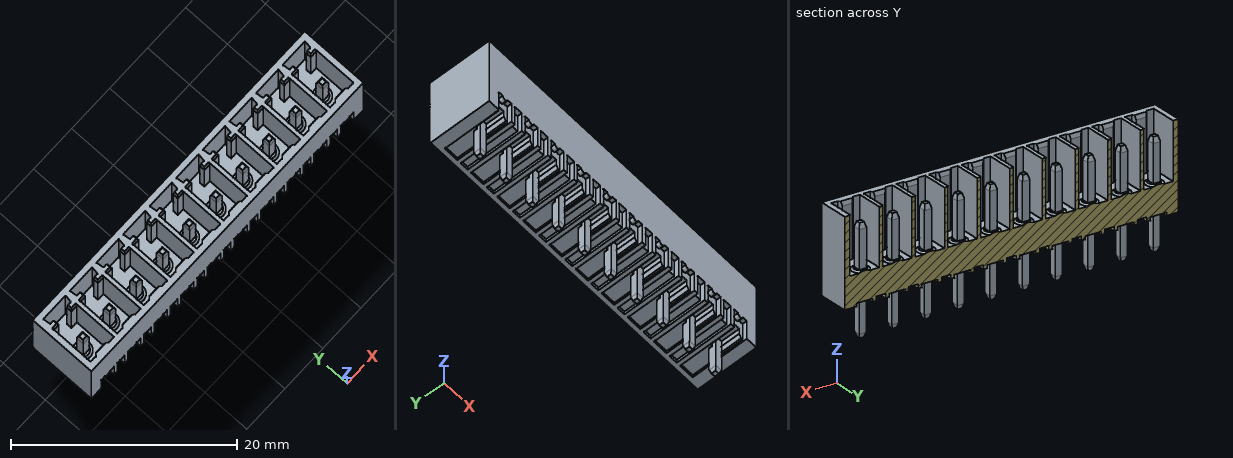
import cadquery as cq


pin_count = 10
length = 35.8
depth = 7.0
height = 9.15
end_margin = 2.15
pitch = (length - 2 * end_margin) / (pin_count - 1)
wall = 0.65
back_inside = depth - wall
back_edge_chamfer = 0.1

ridge_z = 5.8
ridge_height = 0.35
ridge_reach = 0.25
ridge_chamfer = 0.1

floor_z = 3.22
cavity_half_width = 1.55
key_back_half_width = 1.45
key_front_half_width = 1.35
tab_front = 5.1
tab_back = 5.62
tab_half_gap = 0.82
lead_in = 0.15
lead_in_height = 0.43
hump_half_width = 0.82
hump_crest_half_width = 0.55
hump_reach = 0.3
hump_lead_in = 0.1

pin_y = 2.97
pin_width = 0.8
pin_top = 7.88
pin_bottom = -3.45
tip_length = 0.55
tip_width = 0.45
collar_diameter = 1.8
collar_top_diameter = 1.3
collar_height = 0.15

opening_height = 2.7
opening_depth = 0.5
window_width = 1.7
window_pocket_height = 0.32
window_rib_radius = 0.32
slot_width = 0.93
slot_pocket_height = 0.43
tunnel_height = 1.5
tunnel_mouth_half_width = 0.65
tunnel_mouth_top = 0.75

pin_positions = [(i - (pin_count - 1) / 2) * pitch for i in range(pin_count)]
slot_positions = [x + pitch / 2 for x in pin_positions[:-1]]


def box(width, y_front, y_back, z_low, z_high):
    """Block centred on X = 0 between the given Y and Z limits."""
    return cq.Workplane("XY", origin=(0, y_front, z_low)).box(
        width, y_back - y_front, z_high - z_low, centered=(True, False, False)
    )


def make_housing():
    block = box(length, 0, depth, 0, height)
    block = block.edges(">Y and <Z").chamfer(back_edge_chamfer)
    ridge = box(
        length, depth, depth + ridge_reach, ridge_z - ridge_height / 2, ridge_z + ridge_height / 2
    )
    ridge = ridge.edges(">Y and <Z").chamfer(ridge_chamfer)
    return block.union(ridge)


def make_tab():
    """Right-hand tab beside the key, sloped near the top on its inner and front sides."""
    side = cavity_half_width - tab_half_gap
    profile_from_front = (
        cq.Workplane("XZ", origin=(tab_half_gap, tab_front, floor_z))
        .polyline(lead_in_outline(side))
        .close()
        .extrude(tab_front - tab_back)
    )
    profile_from_side = (
        cq.Workplane("YZ", origin=(tab_half_gap, tab_front, floor_z))
        .polyline(lead_in_outline(tab_back - tab_front))
        .close()
        .extrude(side)
    )
    return profile_from_front.intersect(profile_from_side)


def lead_in_outline(thickness):
    """Upright outline of cavity depth, its near edge cut back by the lead-in slope at the top."""
    rise = height - floor_z
    return [
        (0, 0),
        (thickness, 0),
        (thickness, rise),
        (lead_in, rise),
        (0, rise - lead_in_height),
    ]


def make_hump():
    """Raised pad on the front wall of a cavity, its crest sloped back near the top."""
    pad = (
        cq.Workplane("XY", origin=(0, wall, floor_z))
        .moveTo(-hump_half_width, 0)
        .lineTo(hump_half_width, 0)
        .lineTo(hump_crest_half_width, hump_reach)
        .lineTo(-hump_crest_half_width, hump_reach)
        .close()
        .extrude(height - floor_z)
    )
    crest_y = wall + hump_reach
    slope = (
        cq.Workplane("YZ", origin=(-hump_half_width, 0, 0))
        .moveTo(crest_y, height)
        .lineTo(crest_y - hump_lead_in, height)
        .lineTo(crest_y, height - lead_in_height)
        .close()
        .extrude(2 * hump_half_width)
    )
    return pad.cut(slope)


def make_cavity():
    """Space for one mating plug: wide front, tabbed neck, key room at the back and a humped front wall."""
    space = (
        cq.Workplane("XY", origin=(0, 0, floor_z))
        .moveTo(cavity_half_width, wall)
        .lineTo(cavity_half_width, tab_back)
        .lineTo(key_front_half_width, tab_back)
        .lineTo(key_back_half_width, back_inside)
        .lineTo(-key_back_half_width, back_inside)
        .lineTo(-key_front_half_width, tab_back)
        .lineTo(-cavity_half_width, tab_back)
        .lineTo(-cavity_half_width, wall)
        .close()
        .extrude(height - floor_z)
    )
    tab = make_tab()
    return space.cut(tab).cut(tab.mirror("YZ")).cut(make_hump())


def make_window():
    """Opening in front of a pin, with a round rib under its top, a shallow underside pocket and a pin tunnel."""
    opening = box(window_width, 0, opening_depth, 0, opening_height)
    rib = cq.Workplane("XZ", origin=(0, 0, opening_height)).circle(window_rib_radius).extrude(-opening_depth)
    pocket = box(window_width, 0, back_inside, 0, window_pocket_height)
    tunnel = box(pin_width, 0, pin_y, 0, tunnel_height)
    mouth = (
        cq.Workplane("XZ")
        .moveTo(-tunnel_mouth_half_width, window_pocket_height)
        .lineTo(tunnel_mouth_half_width, window_pocket_height)
        .lineTo(pin_width / 2, tunnel_mouth_top)
        .lineTo(-pin_width / 2, tunnel_mouth_top)
        .close()
        .extrude(-pin_y)
    )
    return opening.cut(rib).union(pocket).union(tunnel).union(mouth)


def make_slot():
    """Narrow opening midway between two pins, with a shallow pocket along the underside."""
    opening = box(slot_width, 0, opening_depth, 0, opening_height)
    return opening.union(box(slot_width, 0, back_inside, 0, slot_pocket_height))


def make_pin_tip(z_base, tip_direction):
    """Square tip narrowing away from z_base; tip_direction is +1 for up and -1 for down."""
    return (
        cq.Workplane("XY", origin=(0, pin_y, z_base))
        .rect(pin_width, pin_width)
        .workplane(offset=tip_direction * tip_length)
        .rect(tip_width, tip_width)
        .loft()
    )


def make_pin():
    """Square pin with tapered ends and a conical collar on the cavity floor."""
    shank_low = pin_bottom + tip_length
    shank_high = pin_top - tip_length
    half = pin_width / 2
    shank = box(pin_width, pin_y - half, pin_y + half, shank_low, shank_high)
    collar = (
        cq.Workplane("XY", origin=(0, pin_y, floor_z))
        .circle(collar_diameter / 2)
        .workplane(offset=collar_height)
        .circle(collar_top_diameter / 2)
        .loft()
    )
    return shank.union(make_pin_tip(shank_high, 1)).union(make_pin_tip(shank_low, -1)).union(collar)


cavity = make_cavity()
window = make_window()
slot = make_slot()
pin = make_pin()

result = make_housing()
for x in pin_positions:
    result = result.cut(cavity.translate((x, 0, 0)))
    result = result.cut(window.translate((x, 0, 0)))
for x in slot_positions:
    result = result.cut(slot.translate((x, 0, 0)))
for x in pin_positions:
    result = result.union(pin.translate((x, 0, 0)))